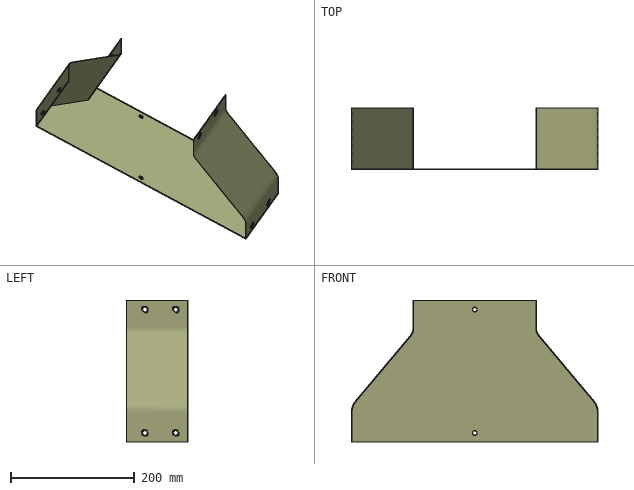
import cadquery as cq
import math

length = 400.0
depth = 100.0
height = 230.0
sheet = 1.0

top_length = length / 2
slope_angle = math.radians(40)
lower_corner_height = 59.0
lower_bend_radius = 29.0
upper_bend_radius = 18.5

hole_row_spacing = 200.0
face_hole_diameter = 7.0
slot_width = 7.0
slot_length = 12.0
slot_tilt = 45
slot_depths = (20.0, 70.0)

half_length = length / 2
half_top = top_length / 2
upper_corner_height = lower_corner_height + (half_length - half_top) / math.tan(slope_angle)
hole_heights = ((height - hole_row_spacing) / 2, (height + hole_row_spacing) / 2)


def bend(corner_x, corner_z, radius, turn):
    """Start, middle and end of a bend, going up; turn is 1 for convex, -1 for concave."""
    tangent = radius * math.tan(slope_angle / 2)
    along_x = tangent * math.sin(slope_angle)
    along_z = tangent * math.cos(slope_angle)
    sagitta_x = radius * (1 - math.cos(slope_angle / 2))
    middle_z = radius * math.sin(slope_angle / 2)
    if turn > 0:
        start = (corner_x, corner_z - tangent)
        middle = (corner_x - sagitta_x, start[1] + middle_z)
        end = (corner_x - along_x, corner_z + along_z)
    else:
        start = (corner_x + along_x, corner_z - along_z)
        end = (corner_x, corner_z + tangent)
        middle = (corner_x + sagitta_x, end[1] - middle_z)
    return start, middle, end


def outline_solid(inset):
    """Extrude the outline with both sides moved inward by the inset."""
    corner_drop = inset * math.tan(slope_angle / 2)
    lower = bend(half_length - inset, lower_corner_height - corner_drop, lower_bend_radius - inset, 1)
    upper = bend(half_top - inset, upper_corner_height - corner_drop, upper_bend_radius + inset, -1)
    half = (
        cq.Workplane("XZ")
        .lineTo(half_length - inset, 0)
        .lineTo(*lower[0])
        .threePointArc(lower[1], lower[2])
        .lineTo(*upper[0])
        .threePointArc(upper[1], upper[2])
        .lineTo(half_top - inset, height)
        .lineTo(0, height)
        .close()
        .extrude(-depth)
    )
    return half.union(half.mirror("YZ"))


inner_space = outline_solid(sheet).translate((0, sheet, 0))
body = outline_solid(0).cut(inner_space)

face_holes = (
    cq.Workplane("XZ")
    .pushPoints([(0, z) for z in hole_heights])
    .circle(face_hole_diameter / 2)
    .extrude(-depth)
)


def flange_slots(side):
    """Tilted slots through one flange; side is -1 or 1. The two flanges tilt opposite ways."""
    return (
        cq.Workplane("YZ")
        .pushPoints([(y, z) for y in slot_depths for z in hole_heights])
        .slot2D(slot_length, slot_width, -side * slot_tilt)
        .extrude(side * half_length)
    )


result = body.cut(face_holes).cut(flange_slots(-1)).cut(flange_slots(1))